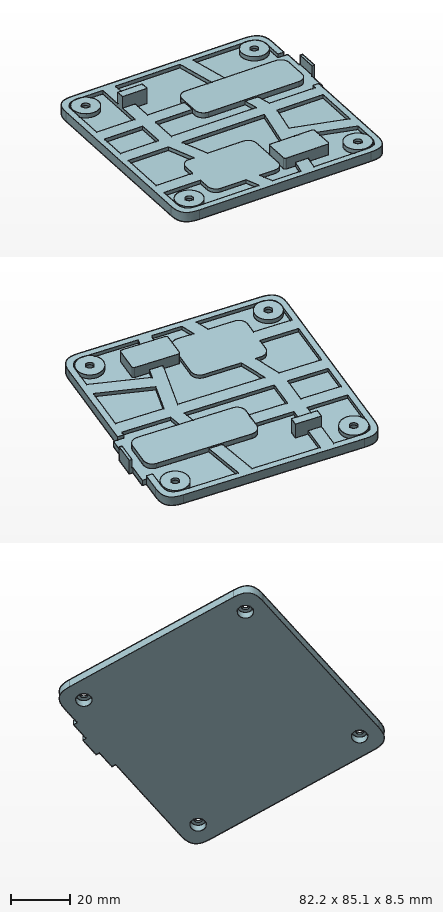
import cadquery as cq
import math

PLATE_SIDE = 82.2
OVERALL_Y = 85.1
FLOOR_TOP = 2.4
RIM_TOP = 3.8
RIM_WIDTH = 2.4

OUTER_CORNER_LENGTH = 7.1
INNER_CORNER_LENGTH = 5.3
CORNER_HANDLE = 0.28

HOLE_DIAMETER = 3.0
COUNTERBORE_DIAMETER = 5.5
COUNTERBORE_DEPTH = 3.1
BOSS_DIAMETER = 10.2
BOSS_TOP = 4.1
HOLE_SPACING = 67.1
HOLE_OFFSET = HOLE_SPACING / 2

RAIL_WIDTH = 5.0
LEFT_RAIL_X = -15.4
RIGHT_RAIL_X = 23.15
LOWER_RAIL_Y = -21.0
ROOF_PEAK_Y = 18.5
ROOF_LEFT_Y = 9.45
ROOF_RIGHT_Y = 10.0
SLANT_TOP_X = 22.9
SLANT_FOOT = (15.8, 15.2)
LOWER_RIGHT_END_Y = -5.8

PAD_SIZE = (20.8, 28.2)
PAD_Y = -10.1
PAD_RADIUS = 3.4

BLOCK_SIZE = (15.15, 42.6)
BLOCK_Y = 17.5
BLOCK_TOP = 4.4
BLOCK_RADIUS = 3.4

TALL_SIZE = (10.2, 17.9)
TALL_CENTER = (28.1, 13.5)
TALL_TOP = 6.8
TALL_RADIUS = 0.7

POST_WIDTH = 3.15
POST_LENGTH = 9.8
POST_X = -27.5
POST_TOP = 8.5

OPENING_WIDTH = 22.6
LEDGE_REACH = 1.5
TAB_WIDTH = 7.8
TAB_THICKNESS = 1.0
TAB_TOP = 6.1

HALF_SIDE = PLATE_SIDE / 2
INNER_HALF = HALF_SIDE - RIM_WIDTH
RAIL_END = HALF_SIDE - RIM_WIDTH / 2


def block(size, center, bottom, top, radius=0):
    """Upright block between two heights, with optional rounded vertical edges."""
    body = cq.Workplane("XY", origin=(center[0], center[1], bottom)).rect(*size).extrude(top - bottom)
    return body.edges("|Z").fillet(radius) if radius else body


def rail(start, end):
    """Rail of constant width whose centreline runs from start to end."""
    run, rise = end[0] - start[0], end[1] - start[1]
    middle = ((start[0] + end[0]) / 2, (start[1] + end[1]) / 2)
    angle = math.degrees(math.atan2(rise, run))
    return (
        cq.Workplane("XY")
        .transformed(offset=(*middle, 0), rotate=(0, 0, angle))
        .rect(math.hypot(run, rise), RAIL_WIDTH)
        .extrude(RIM_TOP)
    )


def soft_square(side, corner_length, bottom, top):
    """Square block whose corners are smooth curves, fuller than a circular arc."""
    half = side / 2
    start = half - corner_length
    handle = half - CORNER_HANDLE * corner_length
    corner = [(half, start), (half, handle), (handle, half), (start, half)]
    outline = cq.Workplane("XY", origin=(0, 0, bottom)).moveTo(half, -start)
    for _ in range(4):
        outline = outline.lineTo(*corner[0]).bezier(corner[1:], includeCurrent=True)
        corner = [(-y, x) for x, y in corner]
    return outline.close().extrude(top - bottom)


def make_tray():
    """Plate with its floor lowered inside the rim and the rim cut open for the ledge."""
    opening_size = (OPENING_WIDTH, RIM_WIDTH)
    opening_center = (LEFT_RAIL_X, HALF_SIDE - RIM_WIDTH / 2)
    tray = soft_square(PLATE_SIDE, OUTER_CORNER_LENGTH, 0, RIM_TOP)
    tray = tray.cut(soft_square(2 * INNER_HALF, INNER_CORNER_LENGTH, FLOOR_TOP, RIM_TOP))
    return tray.cut(block(opening_size, opening_center, FLOOR_TOP, RIM_TOP))


def add_rails(body):
    peak = (0, ROOF_PEAK_Y)
    centrelines = [
        ((0, -RAIL_END), (0, RAIL_END)),
        ((LEFT_RAIL_X, -RAIL_END), (LEFT_RAIL_X, BLOCK_Y)),
        ((RIGHT_RAIL_X, -RAIL_END), (RIGHT_RAIL_X, PAD_Y)),
        ((-RAIL_END, LOWER_RAIL_Y), (0, LOWER_RAIL_Y)),
        ((0, LOWER_RAIL_Y), (RAIL_END, LOWER_RIGHT_END_Y)),
        ((-RAIL_END, ROOF_LEFT_Y), peak),
        (peak, (RAIL_END, ROOF_RIGHT_Y)),
        (SLANT_FOOT, (SLANT_TOP_X, RAIL_END)),
    ]
    for start, end in centrelines:
        body = body.union(rail(start, end))
    return body


def add_blocks(body):
    post_y = LOWER_RAIL_Y - RAIL_WIDTH / 2 + POST_LENGTH / 2
    body = body.union(block(PAD_SIZE, (RIGHT_RAIL_X, PAD_Y), 0, RIM_TOP, PAD_RADIUS))
    body = body.union(block(BLOCK_SIZE, (LEFT_RAIL_X, BLOCK_Y), 0, BLOCK_TOP, BLOCK_RADIUS))
    body = body.union(block(TALL_SIZE, TALL_CENTER, 0, TALL_TOP, TALL_RADIUS))
    return body.union(block((POST_WIDTH, POST_LENGTH), (POST_X, post_y), 0, POST_TOP))


def add_ledge_and_tab(body):
    tab_outer_y = OVERALL_Y - HALF_SIDE
    ledge_outer_y = HALF_SIDE + LEDGE_REACH

    def strip(width, inner_y, outer_y, top):
        center = (LEFT_RAIL_X, (inner_y + outer_y) / 2)
        return block((width, outer_y - inner_y), center, 0, top)

    body = body.union(strip(OPENING_WIDTH, INNER_HALF, ledge_outer_y, FLOOR_TOP))
    body = body.union(strip(TAB_WIDTH, INNER_HALF, tab_outer_y, FLOOR_TOP))
    return body.union(strip(TAB_WIDTH, tab_outer_y - TAB_THICKNESS, tab_outer_y, TAB_TOP))


def add_bosses(body):
    spots = [(x, y) for x in (-HOLE_OFFSET, HOLE_OFFSET) for y in (-HOLE_OFFSET, HOLE_OFFSET)]

    def discs(radius, height):
        return cq.Workplane("XY").pushPoints(spots).circle(radius).extrude(height)

    body = body.union(discs(BOSS_DIAMETER / 2, BOSS_TOP))
    body = body.cut(discs(HOLE_DIAMETER / 2, BOSS_TOP))
    return body.cut(discs(COUNTERBORE_DIAMETER / 2, COUNTERBORE_DEPTH))


result = add_bosses(add_ledge_and_tab(add_blocks(add_rails(make_tray()))))